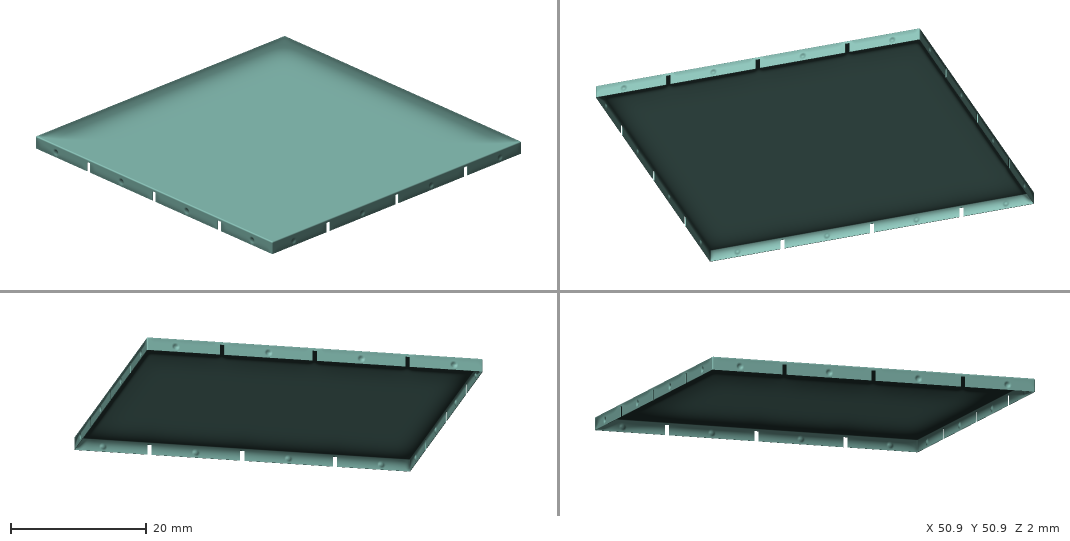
import cadquery as cq

side_length = 50.85
height = 2.0
wall = 0.1
outer_bend_radius = 0.2
inner_bend_radius = outer_bend_radius - wall

slot_pitch = 14.05
slot_width = 0.65
slot_top_depth = 0.45
slot_positions = [step * slot_pitch for step in (-1, 0, 1)]

dimple_positions = [step * slot_pitch for step in (-1.5, -0.5, 0.5, 1.5)]
dimple_center_depth = 1.2
dimple_radius = 0.6
dimple_depth = 0.2
crown_radius = 0.35

crown_rise = dimple_depth * crown_radius / dimple_radius
crown_ball_radius = (crown_radius**2 + crown_rise**2) / (2 * crown_rise)


def rounded_block(side, block_height, radius):
    """Square block standing on Z = 0 with rounded upright and top edges."""
    block = cq.Workplane("XY").box(side, side, block_height, centered=(True, True, False))
    return block.edges("|Z or >Z").fillet(radius)


def dimple_form(inset):
    """Dimple shape at X = 0 that bulges toward +Y from a base set inside the -Y face by inset."""
    profile_plane = cq.Plane(
        origin=(0, -side_length / 2 + inset, height - dimple_center_depth),
        xDir=(1, 0, 0),
        normal=(0, 0, 1),
    )
    return (
        cq.Workplane(profile_plane)
        .moveTo(0, dimple_depth)
        .radiusArc((crown_radius, dimple_depth - crown_rise), crown_ball_radius)
        .tangentArcPoint((dimple_radius, 0), relative=False)
        .lineTo(0, 0)
        .close()
        .revolve(360, (0, 0, 0), (0, 1, 0))
    )


def on_all_fingers(shape):
    """Copies of a -Y wall shape on every spring finger of all four walls."""
    copies = cq.Workplane("XY")
    for quarter_turn in range(4):
        for position in dimple_positions:
            placed = shape.translate((position, 0, 0))
            copies = copies.add(placed.rotate((0, 0, 0), (0, 0, 1), 90 * quarter_turn))
    return copies.combine()


lid = rounded_block(side_length, height, outer_bend_radius)
lid = lid.cut(rounded_block(side_length - 2 * wall, height - wall, inner_bend_radius))

slot_height = height - slot_top_depth
for position in slot_positions:
    slot = cq.Workplane("XY").box(slot_width, side_length, slot_height, centered=(True, True, False))
    slot = slot.translate((position, 0, 0))
    lid = lid.cut(slot)
    lid = lid.cut(slot.rotate((0, 0, 0), (0, 0, 1), 90))

lid = lid.union(on_all_fingers(dimple_form(wall)))
lid = lid.cut(on_all_fingers(dimple_form(0)))

result = lid.solids()